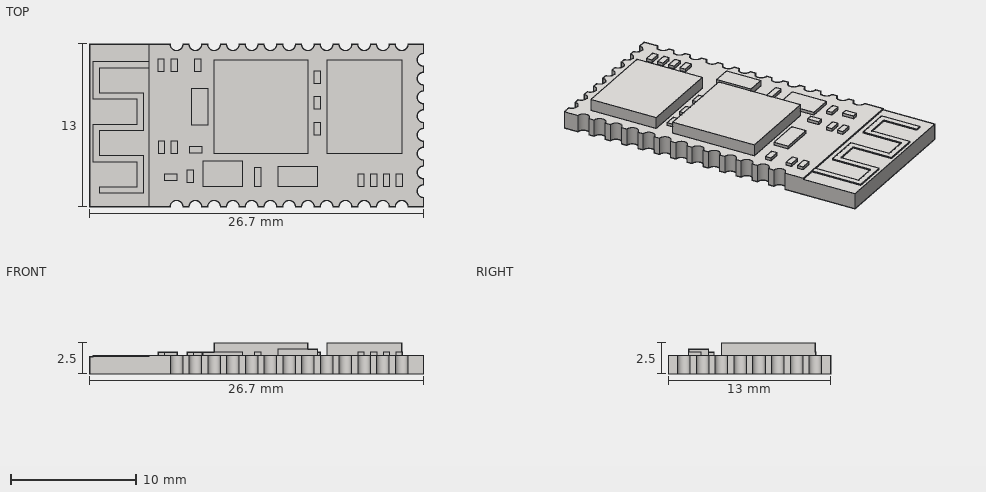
import cadquery as cq


board_length = 26.7
board_width = 13.0
board_thickness = 1.5

antenna_length = 4.75
mask_thickness = 0.1
antenna_floor = board_thickness - mask_thickness

notch_radius = 0.5
notch_pitch = 1.5
side_notch_count = 13
first_side_notch_x = 6.95
end_notch_count = 8
first_end_notch_y = (board_width - (end_notch_count - 1) * notch_pitch) / 2

trace_width = 0.5
trace_run_pitch = 2.5
trace_left = 0.52
trace_right = 4.04
first_run_y = 11.35
trace_run_count = 5

chip_height = 1.0
tall_height = 0.5
low_height = 0.25

chip_depth = 7.5
chip_y = 8.0
radio_chip_length = 7.5
radio_chip_x = 13.7
memory_chip_length = 6.0
memory_chip_x = 21.96

small_long = 1.0
small_short = 0.5
back_row_y = 11.3
back_row_x = [5.7, 6.76, 8.65]
middle_pair_y = 4.75
middle_pair_x = [5.75, 6.76]
gap_column_x = 18.2
gap_column_y = [6.25, 8.33, 10.37]
front_row_y = 2.12
front_row_count = 4
front_row_pitch = 1.02
front_row_first_x = 21.7
single_upright_center = (8.05, 2.44)
crosswise_centers = [(6.5, 2.37), (8.47, 4.57)]

crystal_size = (1.3, 2.9, low_height)
crystal_center = (8.8, 8.0)
flat_part_size = (3.15, 2.05, low_height)
flat_part_center = (10.63, 2.63)
tall_part_size = (3.15, 1.6, tall_height)
tall_part_center = (16.65, 2.42)
slim_part_size = (0.5, 1.5, low_height)
slim_part_center = (13.45, 2.38)


def make_bare_board():
    """Plate with the lowered antenna strip and the edge notches."""
    plate = cq.Workplane("XY").box(board_length, board_width, board_thickness, centered=False)
    strip = (
        cq.Workplane("XY")
        .workplane(offset=antenna_floor)
        .rect(antenna_length, board_width, centered=False)
        .extrude(mask_thickness)
    )
    notch_centers = [(board_length, first_end_notch_y + i * notch_pitch) for i in range(end_notch_count)]
    for i in range(side_notch_count):
        x = first_side_notch_x + i * notch_pitch
        notch_centers.append((x, 0))
        notch_centers.append((x, board_width))
    notches = cq.Workplane("XY").pushPoints(notch_centers).circle(notch_radius).extrude(board_thickness)
    return plate.cut(strip).cut(notches)


def make_blocks(size, centers):
    """Equal rectangular components standing on the board."""
    length, depth, height = size
    return (
        cq.Workplane("XY")
        .workplane(offset=board_thickness)
        .pushPoints(centers)
        .rect(length, depth)
        .extrude(height)
    )


def make_board():
    """Board with all its components as one solid."""
    upright_centers = [(x, back_row_y) for x in back_row_x]
    upright_centers += [(x, middle_pair_y) for x in middle_pair_x]
    upright_centers += [(gap_column_x, y) for y in gap_column_y]
    upright_centers += [(front_row_first_x + i * front_row_pitch, front_row_y) for i in range(front_row_count)]
    upright_centers.append(single_upright_center)

    component_groups = [
        ((radio_chip_length, chip_depth, chip_height), [(radio_chip_x, chip_y)]),
        ((memory_chip_length, chip_depth, chip_height), [(memory_chip_x, chip_y)]),
        (crystal_size, [crystal_center]),
        (flat_part_size, [flat_part_center]),
        (tall_part_size, [tall_part_center]),
        (slim_part_size, [slim_part_center]),
        ((small_short, small_long, low_height), upright_centers),
        ((small_long, small_short, low_height), crosswise_centers),
    ]
    populated = make_bare_board()
    for size, centers in component_groups:
        populated = populated.union(make_blocks(size, centers))
    return populated


def make_antenna():
    """Meandering trace on the antenna strip, from the mask edge to its free end."""
    half_width = trace_width / 2
    center_line = [(antenna_length, first_run_y)]
    for run in range(trace_run_count - 1):
        bend_x = trace_left if run % 2 == 0 else trace_right
        run_y = first_run_y - run * trace_run_pitch
        center_line.append((bend_x, run_y))
        center_line.append((bend_x, run_y - trace_run_pitch))
    last_run_y = first_run_y - (trace_run_count - 1) * trace_run_pitch
    center_line.append((trace_left + half_width, last_run_y))

    trace = None
    for (x1, y1), (x2, y2) in zip(center_line, center_line[1:]):
        left = min(x1, x2)
        right = max(x1, x2)
        if x1 == x2:
            left -= half_width
            right += half_width
        segment = (
            cq.Workplane("XY")
            .workplane(offset=antenna_floor)
            .center((left + right) / 2, (y1 + y2) / 2)
            .rect(right - left, abs(y1 - y2) + trace_width)
            .extrude(mask_thickness)
        )
        trace = segment if trace is None else trace.union(segment)
    return trace.clean()


board = make_board()
antenna = make_antenna()
result = cq.Compound.makeCompound([board.val(), antenna.val()])